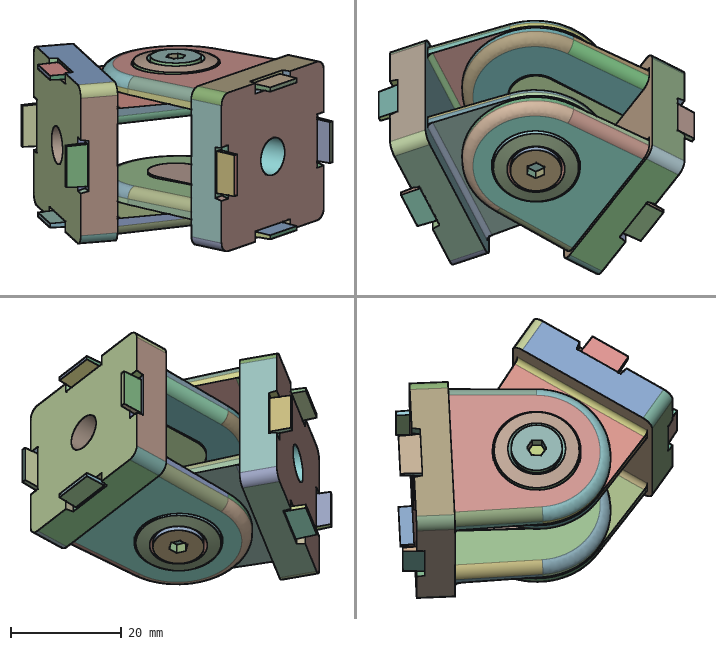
import cadquery as cq
import math


plate_size = 30.0
plate_corner_radius = 2.0
plate_inner_reach = 15.5
plate_thickness = 7.0
plate_outer_reach = plate_inner_reach + plate_thickness
bolt_hole_inner_radius = 3.35
bolt_hole_outer_radius = 3.5

tab_tip_reach = 25.0
tab_offset = 13.97
tab_root_width = 8.0
tab_tip_width = 7.75
tab_root_thickness = 1.0
tab_tip_thickness = 0.8
notch_floor_width = 9.5
notch_mouth_width = 10.1
notch_radial_depth = 2.0
notch_depth = 1.5
notch_floor_reach = plate_outer_reach - notch_depth

arm_tip_radius = 13.45
side_draft = math.radians(2.0)
arm_root_thickness = 3.45
arm_root_half_width = arm_tip_radius / math.cos(side_draft) + plate_inner_reach * math.tan(side_draft)
face_taper = math.radians(1.25)
arm_edge_radius = 2.0
arm_root_fillet = 1.0
arm_pair_level = 10.4
arm_gap = 0.5
inner_arm_level = arm_pair_level - arm_gap / 2
outer_arm_level = arm_pair_level + arm_gap / 2
pad_radius = 5.1

head_top_level = plate_size / 2
head_radius = 4.65
head_seat_level = 13.4
shank_radius = 2.75
shank_engagement = 2.5
shank_end_level = inner_arm_level - shank_engagement
hex_across_flats = 3.05
hex_depth = 2.0
washer_radius = 7.75
washer_rim_level = 14.1
washer_crown_level = 14.6
washer_bottom_level = 12.5
washer_mouth_radius = 5.25
washer_recess_radius = 8.05

swing_from_fixed = 125.0


def make_plate():
    """Rounded square plate with a tapered bolt hole along its thickness."""
    plate = (
        cq.Workplane("XZ", origin=(0, -plate_inner_reach, 0))
        .rect(plate_size, plate_size)
        .extrude(plate_thickness)
        .edges("|Y")
        .fillet(plate_corner_radius)
    )
    bolt_hole = (
        cq.Workplane("XZ", origin=(0, -plate_inner_reach, 0))
        .circle(bolt_hole_inner_radius)
        .workplane(offset=plate_thickness)
        .circle(bolt_hole_outer_radius)
        .loft()
    )
    return plate.cut(bolt_hole)


def make_notch():
    """Flared notch in the top edge of the plate's outer face."""
    return (
        cq.Workplane("XY", origin=(0, 0, plate_size / 2 - notch_radial_depth))
        .polyline([
            (-notch_floor_width / 2, -notch_floor_reach),
            (notch_floor_width / 2, -notch_floor_reach),
            (notch_mouth_width / 2, -plate_outer_reach),
            (-notch_mouth_width / 2, -plate_outer_reach),
        ])
        .close()
        .extrude(notch_radial_depth)
    )


def make_tab():
    """Tapered tab rising from the floor of the top notch."""
    return (
        cq.Workplane("XZ", origin=(0, -notch_floor_reach, tab_offset))
        .rect(tab_root_width, tab_root_thickness)
        .workplane(offset=tab_tip_reach - notch_floor_reach)
        .rect(tab_tip_width, tab_tip_thickness)
        .loft()
    )


def make_arm(gap_face_level):
    """Round-ended arm hanging below its flat gap face, thickest at the plate."""
    tangent_x = arm_tip_radius * math.cos(side_draft)
    tangent_y = arm_tip_radius * math.sin(side_draft)
    outline = (
        cq.Workplane("XY")
        .moveTo(-arm_root_half_width, -plate_inner_reach)
        .lineTo(-tangent_x, tangent_y)
        .threePointArc((0, arm_tip_radius), (tangent_x, tangent_y))
        .lineTo(arm_root_half_width, -plate_inner_reach)
        .close()
        .extrude(-arm_root_thickness)
    )
    arm_length = plate_inner_reach + arm_tip_radius
    tip_thickness = arm_root_thickness - arm_length * math.tan(face_taper)
    wedge = (
        cq.Workplane("YZ")
        .polyline([
            (-plate_inner_reach, 0),
            (arm_tip_radius, 0),
            (arm_tip_radius, -tip_thickness),
            (-plate_inner_reach, -arm_root_thickness),
        ])
        .close()
        .extrude(arm_root_half_width, both=True)
    )
    arm = outline.intersect(wedge)
    rounded_edges = arm.faces("<Z").edges("not(<Y)")
    return rounded_edges.fillet(arm_edge_radius).translate((0, 0, gap_face_level))


def make_root_fillet(gap_face_level):
    """Concave fillet between the plate and the gap face of an arm."""
    arc_offset = arm_root_fillet * (1 - math.sqrt(0.5))
    return (
        cq.Workplane("YZ", origin=(0, -plate_inner_reach, gap_face_level))
        .lineTo(arm_root_fillet, 0)
        .threePointArc((arc_offset, arc_offset), (0, arm_root_fillet))
        .close()
        .extrude(arm_root_half_width, both=True)
    )


def make_pad():
    """Flat round-ended pad on the tapered face of the inner arm, running to the plate."""
    return (
        cq.Workplane("XY", origin=(0, 0, inner_arm_level))
        .moveTo(-pad_radius, -plate_inner_reach)
        .lineTo(-pad_radius, 0)
        .threePointArc((0, pad_radius), (pad_radius, 0))
        .lineTo(pad_radius, -plate_inner_reach)
        .close()
        .extrude(-arm_root_thickness)
    )


def cylinder_between(radius, low, high):
    """Cylinder on the pivot axis between two heights."""
    return cq.Workplane("XY", origin=(0, 0, low)).circle(radius).extrude(high - low)


def make_half():
    """Fixed half: its upper arm is the inner one, its lower arm the outer one."""
    half = make_plate()
    for quarter_turn in range(4):
        half = half.cut(make_notch().rotate((0, 0, 0), (0, 1, 0), 90 * quarter_turn))
        half = half.union(make_tab().rotate((0, 0, 0), (0, 1, 0), 90 * quarter_turn))
    for gap_face_level in (inner_arm_level, -outer_arm_level):
        half = half.union(make_arm(gap_face_level))
        half = half.union(make_root_fillet(gap_face_level))
    half = half.union(make_pad())
    washer_recess = cylinder_between(washer_recess_radius, -head_top_level, -washer_bottom_level)
    outer_shank_hole = cylinder_between(shank_radius, -washer_bottom_level, -outer_arm_level)
    inner_shank_hole = cylinder_between(shank_radius, shank_end_level, inner_arm_level)
    return half.cut(washer_recess).cut(outer_shank_hole).cut(inner_shank_hole)


def make_washer():
    """Upper washer: conical crown, countersunk mouth and a seat for the screw head."""
    mouth_depth = washer_mouth_radius - head_radius
    return (
        cq.Workplane("XZ")
        .polyline([
            (shank_radius, washer_bottom_level),
            (washer_radius, washer_bottom_level),
            (washer_radius, washer_rim_level),
            (washer_mouth_radius, washer_crown_level),
            (head_radius, washer_crown_level - mouth_depth),
            (head_radius, head_seat_level),
            (shank_radius, head_seat_level),
        ])
        .close()
        .revolve(360, (0, 0, 0), (0, 1, 0))
    )


def make_screw():
    """Upper pivot screw with a hexagon socket, ending blind in the inner arm."""
    head = cylinder_between(head_radius, head_seat_level, head_top_level)
    shank = cylinder_between(shank_radius, shank_end_level, head_seat_level)
    socket = (
        cq.Workplane("XY", origin=(0, 0, head_top_level))
        .polygon(6, hex_across_flats, circumscribed=True)
        .extrude(-hex_depth)
    )
    return head.union(shank).cut(socket)


def turn_over(body):
    """Half turn about the Y axis."""
    return body.rotate((0, 0, 0), (0, 1, 0), 180)


fixed_half = make_half()
swung_half = turn_over(make_half()).rotate((0, 0, 0), (0, 0, 1), swing_from_fixed)

upper_washer = make_washer()
lower_washer = turn_over(make_washer())
upper_screw = make_screw()
lower_screw = turn_over(make_screw())

bodies = [fixed_half, swung_half, upper_washer, lower_washer, upper_screw, lower_screw]
result = cq.Compound.makeCompound([body.val() for body in bodies])